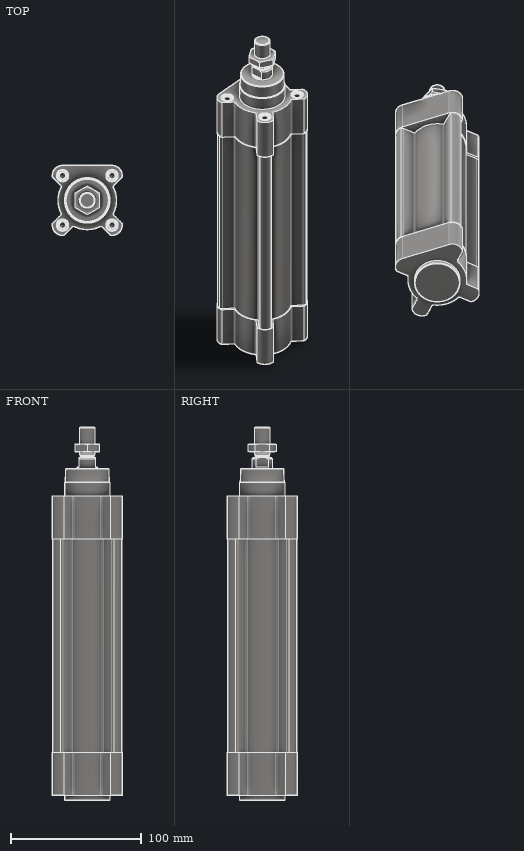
import cadquery as cq
import math

housing_length = 230.0
cap_length = 33.0
barrel_length = housing_length - 2 * cap_length

screw_spacing = 38.0
cap_width = 54.0
lug_center = screw_spacing / 2

cap_body_radius = 22.6
cap_tip_radius = cap_width / 2 - lug_center
cap_lug_half_width = 6.4
cap_root_fillet = 1.0

barrel_body_radius = 22.1
barrel_tip_radius = 7.7
barrel_tip_half_width = 4.4
barrel_lug_half_width = 4.8
barrel_flank_start = 4.2
barrel_root_fillet = 0.8

boss_diameter = 35.0
boss_chamfer = 0.5
rear_boss_height = 4.0
front_boss_height = 10.8
collar_top = 21.2
collar_base_diameter = boss_diameter - 2 * boss_chamfer
collar_top_diameter = 33.4
collar_chamfer = 0.5

hole_steps = [(9.5, 0.3), (8.8, 0.6), (8.0, 0.9), (6.0, 1.2), (4.92, 5.0)]
drill_point_angle = 118.0

rod_diameter = 16.0
rod_socket_depth = cap_length
rod_shoulder = 29.4
shoulder_chamfer = 1.0
flat_width = 13.0
flat_base = 22.2
neck_foot_diameter = 11.45
neck_diameter = 10.65
neck_foot_top = 30.2
neck_top = 30.9
thread_diameter = 12.0
thread_start = 32.4
thread_end = 52.9
thread_chamfer = (thread_diameter - neck_diameter) / 2

nut_width = 19.0
nut_height = 6.0
nut_base = 33.9
nut_face_diameter = nut_width
nut_chamfer_angle = 15.0

DIAGONAL = math.sqrt(0.5)


def flank_point(offset, reach):
    """Point beside the diagonal of the (-X, -Y) lug, on its -Y side.

    offset is measured square to the diagonal, reach outward from the screw axis.
    """
    return (-lug_center + (offset - reach) * DIAGONAL, -lug_center - (offset + reach) * DIAGONAL)


def tip_corner(half_width, tip_radius):
    """Point where a lug's round tip ends at the given half width."""
    return flank_point(half_width, math.sqrt(tip_radius**2 - half_width**2))


def turned(point, quarter_turns):
    """Turn a point about the axis by quarter turns, counter-clockwise from above."""
    x, y = point
    for _ in range(quarter_turns):
        x, y = -y, x
    return x, y


def mirrored(point):
    return -point[0], point[1]


def lugged_prism(flank, half_width, body_radius, tip_radius, root_fillet, length):
    """Round prism with four diagonal lugs, filleted where they join the body.

    flank lists the outer points of one lug side, from the tip corner inward.
    """
    root_reach = math.sqrt(body_radius**2 - half_width**2) - lug_center / DIAGONAL
    left_side = flank + [flank_point(half_width, root_reach)]
    right_side = [mirrored(point) for point in reversed(left_side)]
    tip_middle = (lug_center + tip_radius * DIAGONAL, -lug_center - tip_radius * DIAGONAL)

    outline = cq.Workplane("XY").moveTo(*left_side[0])
    for side in range(4):
        for point in left_side[1:]:
            outline = outline.lineTo(*turned(point, side))
        outline = outline.threePointArc(turned((0, -body_radius), side), turned(right_side[0], side))
        for point in right_side[1:]:
            outline = outline.lineTo(*turned(point, side))
        outline = outline.threePointArc(turned(tip_middle, side), turned(left_side[0], side + 1))
    prism = outline.close().extrude(length)

    def is_root(edge):
        return math.hypot(edge.Center().x, edge.Center().y) < body_radius + root_fillet / 2

    return prism.edges("|Z").filter(is_root).fillet(root_fillet)


def cap(base_z):
    """End cap: four lugs, with the +Y side filled in flat."""
    flank = [tip_corner(cap_lug_half_width, cap_tip_radius)]
    body = lugged_prism(
        flank, cap_lug_half_width, cap_body_radius, cap_tip_radius, cap_root_fillet, cap_length)
    web_thickness = (cap_width - lug_center) / 2
    web = (
        cq.Workplane("XY")
        .center(0, (cap_width - web_thickness) / 2)
        .rect(screw_spacing, web_thickness)
        .extrude(cap_length)
    )
    return body.union(web).translate((0, 0, base_z))


def barrel():
    """Tube section between the caps, its lugs bevelled beside the round tips."""
    flank = [
        tip_corner(barrel_tip_half_width, barrel_tip_radius),
        flank_point(barrel_lug_half_width, barrel_flank_start),
    ]
    body = lugged_prism(
        flank, barrel_lug_half_width, barrel_body_radius, barrel_tip_radius,
        barrel_root_fillet, barrel_length)
    return body.translate((0, 0, cap_length))


def rear_boss():
    return (
        cq.Workplane("XY")
        .circle(boss_diameter / 2)
        .extrude(-rear_boss_height)
        .faces("<Z")
        .chamfer(boss_chamfer)
    )


def front_boss():
    """Centring boss with the slightly tapered collar on it."""
    boss_radius = boss_diameter / 2
    collar_radius = collar_top_diameter / 2
    return (
        cq.Workplane("XZ", origin=(0, 0, housing_length))
        .moveTo(0, 0)
        .lineTo(boss_radius, 0)
        .lineTo(boss_radius, front_boss_height - boss_chamfer)
        .lineTo(collar_base_diameter / 2, front_boss_height)
        .lineTo(collar_radius, collar_top - collar_chamfer)
        .lineTo(collar_radius - collar_chamfer, collar_top)
        .lineTo(0, collar_top)
        .close()
        .revolve(360, (0, 0, 0), (0, 1, 0))
    )


def screw_hole():
    """Stepped blind hole with a drill point, opening at z = 0 and going down."""
    outline = cq.Workplane("XZ").moveTo(0, 0)
    top = 0
    for diameter, floor in hole_steps:
        outline = outline.lineTo(diameter / 2, top).lineTo(diameter / 2, -floor)
        top = -floor
    bore_diameter = hole_steps[-1][0]
    point_height = bore_diameter / 2 / math.tan(math.radians(drill_point_angle / 2))
    return outline.lineTo(0, top - point_height).close().revolve(360, (0, 0, 0), (0, 1, 0))


def make_housing():
    body = cap(0).union(barrel()).union(cap(housing_length - cap_length))
    body = body.union(rear_boss()).union(front_boss())
    for x in (-lug_center, lug_center):
        for y in (-lug_center, lug_center):
            body = body.cut(screw_hole().translate((x, y, housing_length)))
    rod_socket = (
        cq.Workplane("XY", origin=(0, 0, housing_length - rod_socket_depth))
        .circle(rod_diameter / 2)
        .extrude(rod_socket_depth + collar_top)
    )
    return body.cut(rod_socket)


def make_rod():
    """Piston rod with wrench flats facing X, a relief neck and a plain thread."""
    rod_radius = rod_diameter / 2
    thread_radius = thread_diameter / 2
    turned_rod = (
        cq.Workplane("XZ", origin=(0, 0, housing_length))
        .moveTo(0, -rod_socket_depth)
        .lineTo(rod_radius, -rod_socket_depth)
        .lineTo(rod_radius, rod_shoulder - shoulder_chamfer)
        .lineTo(rod_radius - shoulder_chamfer, rod_shoulder)
        .lineTo(neck_foot_diameter / 2, rod_shoulder)
        .lineTo(neck_diameter / 2, neck_foot_top)
        .lineTo(neck_diameter / 2, neck_top)
        .lineTo(thread_radius, thread_start)
        .lineTo(thread_radius, thread_end - thread_chamfer)
        .lineTo(thread_radius - thread_chamfer, thread_end)
        .lineTo(0, thread_end)
        .close()
        .revolve(360, (0, 0, 0), (0, 1, 0))
    )
    flat_depth = (rod_diameter - flat_width) / 2
    flats = (
        cq.Workplane("XY", origin=(0, 0, housing_length + flat_base))
        .pushPoints([(side * (flat_width + flat_depth) / 2, 0) for side in (-1, 1)])
        .rect(flat_depth, rod_diameter)
        .extrude(rod_shoulder - flat_base)
    )
    return turned_rod.cut(flats)


def make_nut():
    """Hexagon lock nut with corners towards +Y and -Y and chamfered faces."""
    corner_diameter = nut_width / math.cos(math.radians(30))
    corner_radius = corner_diameter / 2
    face_radius = nut_face_diameter / 2
    corner_drop = (corner_radius - face_radius) * math.tan(math.radians(nut_chamfer_angle))
    chamfered_blank = (
        cq.Workplane("XZ")
        .moveTo(0, 0)
        .lineTo(face_radius, 0)
        .lineTo(corner_radius, corner_drop)
        .lineTo(corner_radius, nut_height - corner_drop)
        .lineTo(face_radius, nut_height)
        .lineTo(0, nut_height)
        .close()
        .revolve(360, (0, 0, 0), (0, 1, 0))
    )
    hexagon = (
        cq.Workplane("XY")
        .polygon(6, corner_diameter)
        .circle(thread_diameter / 2)
        .extrude(nut_height)
        .rotate((0, 0, 0), (0, 0, 1), 90)
    )
    return hexagon.intersect(chamfered_blank).translate((0, 0, housing_length + nut_base))


housing = make_housing()
rod = make_rod()
nut = make_nut()

result = cq.Compound.makeCompound([housing.val(), rod.val(), nut.val()])